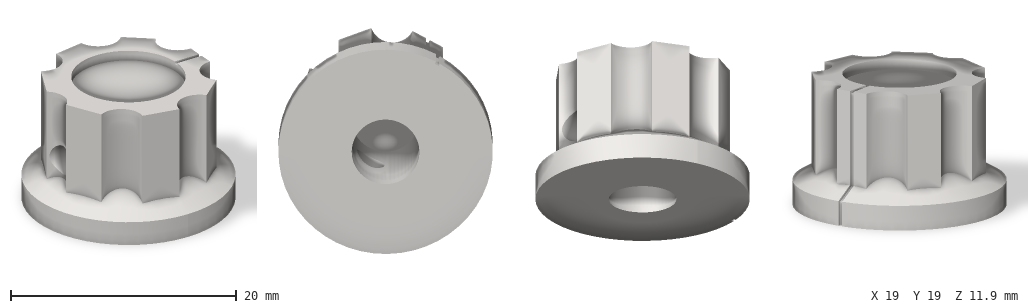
import cadquery as cq
import math

height = 11.93
base_radius = 9.5
rim_height = 2.26
cone_slope_angle = 30.0

corner_radius = 7.83
flute_radius = 2.0
flute_distance = 8.4
front_flute_distance = 8.91
pointer_flute_direction = 65.0
flutes = [
    (15.0, flute_distance),
    (pointer_flute_direction, flute_distance),
    (180.0 - pointer_flute_direction, flute_distance),
    (165.0, flute_distance),
    (215.0, flute_distance),
    (270.0, front_flute_distance),
    (322.0, flute_distance),
]

recess_radius = 5.07
recess_depth = 0.95

groove_width = 0.4
groove_depth = 0.23

bore_radius = 3.0
bore_depth = 9.5
screw_radius = 1.39
screw_height = 5.57

cone_rise = math.tan(math.radians(cone_slope_angle))

def cone_height(radius):
    """Height of the conical shoulder at a given radius."""
    return rim_height + (base_radius - radius) * cone_rise


def polar(radius, degrees):
    angle = math.radians(degrees)
    return (radius * math.cos(angle), radius * math.sin(angle))


def flute_half_angle(distance):
    """Half the angle a flute takes out of the corner circle."""
    cosine = (corner_radius**2 + distance**2 - flute_radius**2) / (2 * corner_radius * distance)
    return math.degrees(math.acos(cosine))


def pointer_flat_distance():
    """Distance from the axis to the grip flat crossed by the groove."""
    corner_direction = pointer_flute_direction + flute_half_angle(flute_distance)
    return polar(corner_radius, corner_direction)[1]


def make_grip():
    first_direction, first_distance = flutes[0]
    outline = cq.Workplane("XY").moveTo(
        *polar(corner_radius, first_direction - flute_half_angle(first_distance))
    )
    for index, (direction, distance) in enumerate(flutes):
        half_angle = flute_half_angle(distance)
        if index > 0:
            outline = outline.lineTo(*polar(corner_radius, direction - half_angle))
        outline = outline.threePointArc(
            polar(distance - flute_radius, direction),
            polar(corner_radius, direction + half_angle),
        )
    return outline.close().extrude(height)


def make_base():
    """Rim and conical shoulder; the cone ends inside the grip."""
    profile = [
        (0, 0),
        (base_radius, 0),
        (base_radius, rim_height),
        (recess_radius, cone_height(recess_radius)),
        (0, cone_height(recess_radius)),
    ]
    return cq.Workplane("XZ").polyline(profile).close().revolve(360, (0, 0), (0, 1))


def make_groove():
    """Thin slab along +Y that fills everything outside the groove floor."""
    floor_rim = base_radius - groove_depth
    floor_flat = pointer_flat_distance() - groove_depth
    shoulder_drop = groove_depth / math.cos(math.radians(cone_slope_angle))
    profile = [
        (floor_rim, 0),
        (floor_rim, cone_height(floor_rim) - shoulder_drop),
        (floor_flat, cone_height(floor_flat) - shoulder_drop),
        (floor_flat, height - groove_depth),
        (0, height - groove_depth),
        (0, height),
        (base_radius, height),
        (base_radius, 0),
    ]
    return cq.Workplane("YZ").polyline(profile).close().extrude(groove_width / 2, both=True)


recess_floor = cq.Workplane("XY").workplane(offset=height - recess_depth)
recess = recess_floor.circle(recess_radius).extrude(recess_depth)
bore = cq.Workplane("XY").circle(bore_radius).extrude(bore_depth)
screw_hole = cq.Workplane("XZ").center(0, screw_height).circle(screw_radius).extrude(base_radius)

result = make_base().union(make_grip())
for cutter in (recess, make_groove(), bore, screw_hole):
    result = result.cut(cutter)